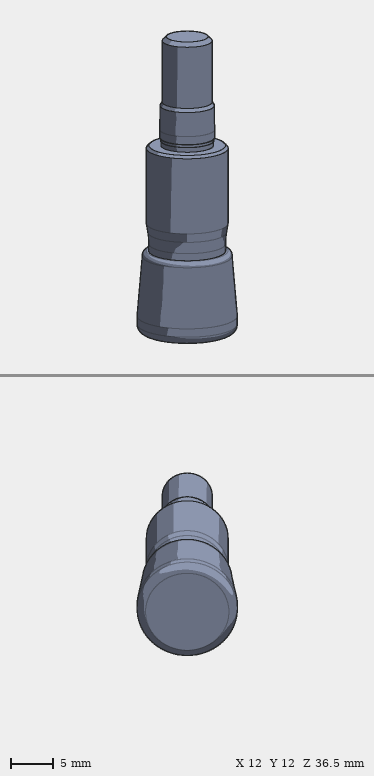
import cadquery as cq
import math

head_radius = 6.0
head_top_radius = 5.35
waist_radius = 4.6
sleeve_radius = 4.9
neck_radius = 3.15
collar_radius = 3.3
collar_top_radius = 3.25
pin_radius = 3.0

head_straight_top = 2.05
head_top = 10.07
waist_straight_top = 10.95
waist_curve_top = 12.37
sleeve_bottom = 13.47
sleeve_top = 23.05
collar_bottom = 24.0
collar_straight_top = 25.05
collar_top = 28.45
total_height = 36.5

base_fillet = 1.02
head_top_drop = 0.65
head_top_inset = 0.5
sleeve_chamfer = 0.33
neck_rim_height = 0.35
neck_rim_width = 0.055
collar_chamfer_height = 0.45
pin_chamfer = 0.5

waist_curve_rise = waist_curve_top - waist_straight_top
waist_curve_width = 0.1
waist_arc_radius = (waist_curve_rise**2 + waist_curve_width**2) / (2 * waist_curve_width)
half_rise = waist_curve_rise / 2
waist_mid_radius = waist_radius + waist_arc_radius - math.sqrt(waist_arc_radius**2 - half_rise**2)

fillet_mid_offset = base_fillet * (1 - math.sqrt(0.5))

shoulder_mid_radius = head_top_radius - head_top_inset * (1 - math.sqrt(0.5))
shoulder_mid_height = head_top - head_top_drop * (1 - math.sqrt(0.5))

profile = (
    cq.Workplane("XZ")
    .moveTo(0, 0)
    .lineTo(head_radius - base_fillet, 0)
    .threePointArc((head_radius - fillet_mid_offset, fillet_mid_offset), (head_radius, base_fillet))
    .lineTo(head_radius, head_straight_top)
    .lineTo(head_top_radius, head_top - head_top_drop)
    .threePointArc((shoulder_mid_radius, shoulder_mid_height), (head_top_radius - head_top_inset, head_top))
    .lineTo(waist_radius, head_top)
    .lineTo(waist_radius, waist_straight_top)
    .threePointArc(
        (waist_mid_radius, waist_straight_top + half_rise),
        (waist_radius + waist_curve_width, waist_curve_top),
    )
    .lineTo(sleeve_radius, sleeve_bottom)
    .lineTo(sleeve_radius, sleeve_top - sleeve_chamfer)
    .lineTo(sleeve_radius - sleeve_chamfer, sleeve_top)
    .lineTo(neck_radius, sleeve_top)
    .lineTo(neck_radius, collar_bottom - neck_rim_height)
    .lineTo(neck_radius + neck_rim_width, collar_bottom - neck_rim_height)
    .lineTo(neck_radius + neck_rim_width, collar_bottom)
    .lineTo(collar_radius, collar_bottom)
    .lineTo(collar_radius, collar_straight_top)
    .lineTo(collar_top_radius, collar_top - collar_chamfer_height)
    .lineTo(pin_radius, collar_top)
    .lineTo(pin_radius, total_height - pin_chamfer)
    .lineTo(pin_radius - pin_chamfer, total_height)
    .lineTo(0, total_height)
    .close()
)

result = profile.revolve(360, (0, 0, 0), (0, 1, 0))